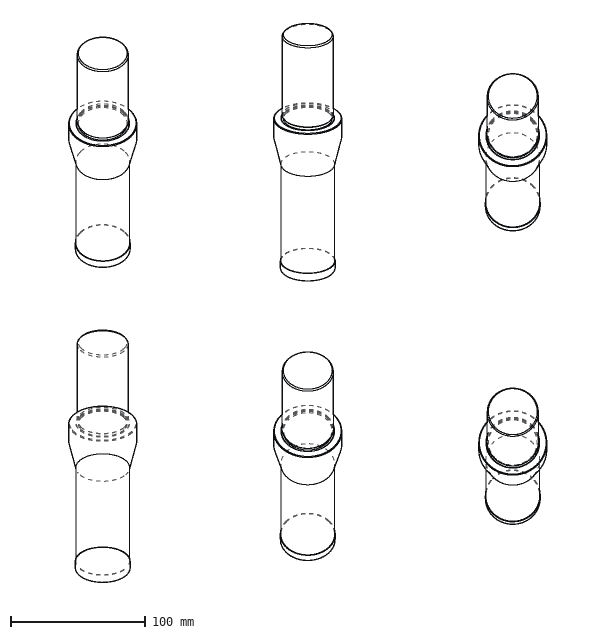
import cadquery as cq

total_length = 197.36
flange_diameter = 50.8
shank_diameter = 38.1
body_diameter = 40.0
cutting_diameter = 41.0

tip_flat_radius = 8.6
point_height = 1.0
rim_rounding = 1.5
head_length = 8.0

taper_bottom = 89.0
taper_foot_height = 1.2
taper_foot_radius = 20.4
taper_length = 21.5

flange_bottom = taper_bottom + taper_foot_height + taper_length
flange_top = 127.5
flange_chamfer = 0.6

end_chamfer_width = 0.9
end_chamfer_height = 1.3
neck_radius = 18.2
neck_height = 1.5
relief_radius = 20.0
relief_depth = 0.5


def revolve_about_z(profile):
    """Turn a closed (radius, height) profile drawn in the XZ plane about Z."""
    return profile.close().revolve(360, (0, 0, 0), (0, 1, 0))


def make_cutting_head():
    """Disc at the tip that holds the full drilling diameter."""
    radius = cutting_diameter / 2
    return revolve_about_z(
        cq.Workplane("XZ")
        .moveTo(0, 0)
        .lineTo(tip_flat_radius, 0)
        .lineTo(radius - rim_rounding, point_height)
        .radiusArc((radius, point_height + rim_rounding), -rim_rounding)
        .lineTo(radius, head_length)
        .lineTo(0, head_length)
    )


def make_drill_body():
    """Straight body, taper, flange and shank turned as one piece."""
    body_radius = body_diameter / 2
    flange_radius = flange_diameter / 2
    shank_radius = shank_diameter / 2
    shank_bottom = flange_top + neck_height
    groove_bevel = shank_radius - neck_radius
    return revolve_about_z(
        cq.Workplane("XZ")
        .moveTo(0, head_length)
        .lineTo(body_radius, head_length)
        .lineTo(body_radius, taper_bottom)
        .lineTo(taper_foot_radius, taper_bottom + taper_foot_height)
        .lineTo(flange_radius, flange_bottom)
        .lineTo(flange_radius, flange_top - flange_chamfer)
        .lineTo(flange_radius - flange_chamfer, flange_top)
        .lineTo(relief_radius, flange_top)
        .lineTo(relief_radius - relief_depth, flange_top - relief_depth)
        .lineTo(neck_radius, flange_top - relief_depth)
        .lineTo(neck_radius, shank_bottom)
        .lineTo(shank_radius, shank_bottom + groove_bevel)
        .lineTo(shank_radius, total_length - end_chamfer_height)
        .lineTo(shank_radius - end_chamfer_width, total_length)
        .lineTo(0, total_length)
    )


cutting_head = make_cutting_head()
drill_body = make_drill_body()

result = cq.Compound.makeCompound([cutting_head.val(), drill_body.val()])